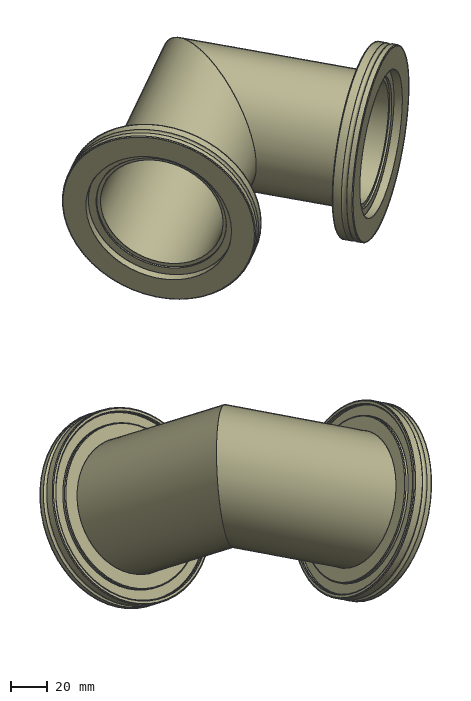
import cadquery as cq
import math

overall_length = 153.0
flange_diameter = 110.0
flange_thickness = 12.0
leg_length = overall_length - flange_diameter / 2

tube_diameter = 76.0
tube_bore = 69.8

recess_diameter = 83.0
recess_depth = 4.7
lip_diameter = 74.0
lip_thickness = 1.2
socket_diameter = 76.3
tube_end = leg_length - recess_depth - lip_thickness

rim_groove_radius = 1.5
rim_groove_setback = 5.0
edge_chamfer = 0.5

back_groove_inner_diameter = 93.0
back_groove_outer_diameter = 105.0
back_groove_depth = 2.0


def disc(diameter, start, length):
    """Cylinder on the Z axis, from height start to start + length."""
    return cq.Workplane("XY").workplane(offset=start).circle(diameter / 2).extrude(length)


def make_tube():
    """Tube along +Z, cut at 45 degrees through the origin so that it reaches below z = 0 on the -X side."""
    overhang = tube_diameter / 2
    length = tube_end + overhang
    tube = disc(tube_diameter, -overhang, length).cut(disc(tube_bore, -overhang, length))
    kept_side = (
        cq.Workplane("XZ")
        .moveTo(-overhang, -overhang)
        .lineTo(overhang, overhang)
        .lineTo(overhang, tube_end)
        .lineTo(-overhang, tube_end)
        .close()
        .extrude(overhang, both=True)
    )
    return tube.intersect(kept_side)


def make_rim_groove():
    """Half-round ring centred on the flange rim."""
    ring = cq.Solid.makeTorus(
        flange_diameter / 2,
        rim_groove_radius,
        cq.Vector(0, 0, leg_length - rim_groove_setback),
        cq.Vector(0, 0, 1),
    )
    return cq.Workplane(obj=ring)


def make_flange():
    """Flange on the Z axis with its sealing face at z = leg_length."""
    back = leg_length - flange_thickness
    flange = disc(flange_diameter, back, flange_thickness)

    back_groove = disc(back_groove_outer_diameter, back, back_groove_depth).cut(
        disc(back_groove_inner_diameter, back, back_groove_depth)
    )
    flange = flange.cut(back_groove)

    flange = flange.faces("<Z or >Z").edges().chamfer(edge_chamfer)
    flange = flange.cut(make_rim_groove())

    flange = flange.cut(disc(lip_diameter, back, flange_thickness))
    flange = flange.cut(disc(recess_diameter, leg_length - recess_depth, recess_depth))
    flange = flange.cut(disc(socket_diameter, back, tube_end - back))
    return flange


def to_x_leg(body):
    """Turn a body from +Z to +X, with its -X side becoming +Y."""
    return body.rotate((0, 0, 0), (0, 1, 0), 90).rotate((0, 0, 0), (1, 0, 0), -90)


def to_y_leg(body):
    """Mirror the +X leg across the mitre plane to get the -Y leg."""
    mitre_normal = cq.Vector(math.sqrt(0.5), math.sqrt(0.5), 0)
    return cq.Workplane(obj=to_x_leg(body).val().mirror(mitre_normal, (0, 0, 0)))


bodies = []
for place_on_leg in (to_x_leg, to_y_leg):
    for make_body in (make_tube, make_flange):
        bodies.append(place_on_leg(make_body()).val())

result = cq.Compound.makeCompound(bodies)